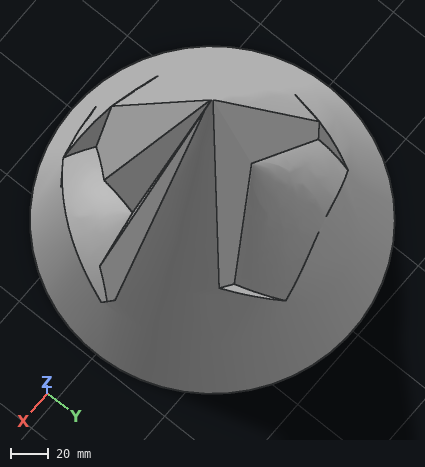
import cadquery as cq
import math

BASE_RADIUS = 96.6
HEIGHT = 212.0
SWEEP_LENGTH = 200.0

WALL_RISE = 1.0
WALL_TOP = cq.Vector(0, 0, HEIGHT + WALL_RISE)
SEAM_ANGLE = 200.0


def on_cone(angle, height):
    """Point on the cone side at an angle from +X, in degrees, and a height."""
    radius = BASE_RADIUS * (1 - height / HEIGHT)
    azimuth = math.radians(angle)
    return cq.Vector(radius * math.cos(azimuth), radius * math.sin(azimuth), height)


BACK_PEAK = cq.Vector(-6, 22, 129)
BACK_FEET = [on_cone(43, 76), BACK_PEAK, on_cone(160, 68)]
BACK_ANGLE = 100.0
BACK_MOUND_MIDDLE = (44.0, 68.0)
BACK_MOUND_RADIUS = 92.0

RIB_FOOT = cq.Vector(36, -25, 50)
WALL_FOOT = cq.Vector(68, -21, 42)
CHUTE_FOOT = cq.Vector(31, -50, 42)
FRONT_FEET = [on_cone(-90, 60), CHUTE_FOOT, RIB_FOOT, WALL_FOOT, on_cone(-2, 42)]
FRONT_ANGLE = -42.0
FRONT_MOUND_MIDDLE = (32.0, 42.0)
FRONT_MOUND_RADIUS = 78.0


def prism(corners, sweep):
    """Solid swept from a triangle along a vector."""
    triangle = cq.Face.makeFromWires(cq.Wire.makePolygon(corners, close=True))
    return cq.Workplane(cq.Solid.extrudeLinear(triangle, sweep))


def mound(peak, middle, radius):
    """Rounded hill standing on the base plane under its peak."""
    profile = (
        cq.Workplane("XZ")
        .moveTo(0, 0)
        .lineTo(0, peak.z)
        .threePointArc(middle, (radius, 0))
        .close()
    )
    hill = profile.revolve(360, (0, 0, 0), (0, 1, 0))
    return hill.translate((peak.x, peak.y, 0))


def below_hill(foot):
    """Point on the line from the wall top through a foot, at the base plane."""
    return WALL_TOP + (foot - WALL_TOP) * (WALL_TOP.z / (WALL_TOP.z - foot.z))


def carve(body, feet, angle, hill):
    """Remove the space outside the walls that fan from the tip, down to the hill."""
    azimuth = math.radians(angle)
    sweep = cq.Vector(math.cos(azimuth), math.sin(azimuth), 0) * SWEEP_LENGTH
    corners = [feet[0], *map(below_hill, feet[1:-1]), feet[-1]]
    space = cq.Workplane()
    for first, second in zip(corners, corners[1:]):
        space = space.union(prism([WALL_TOP, first, second], sweep))
    return body.cut(space.cut(hill))


cone = cq.Workplane(cq.Solid.makeCone(BASE_RADIUS, 0, HEIGHT))
cone = cone.rotate((0, 0, 0), (0, 0, 1), SEAM_ANGLE)
back_mound = mound(BACK_PEAK, BACK_MOUND_MIDDLE, BACK_MOUND_RADIUS)
front_mound = mound(RIB_FOOT, FRONT_MOUND_MIDDLE, FRONT_MOUND_RADIUS)

result = carve(cone, BACK_FEET, BACK_ANGLE, back_mound)
result = carve(result, FRONT_FEET, FRONT_ANGLE, front_mound)